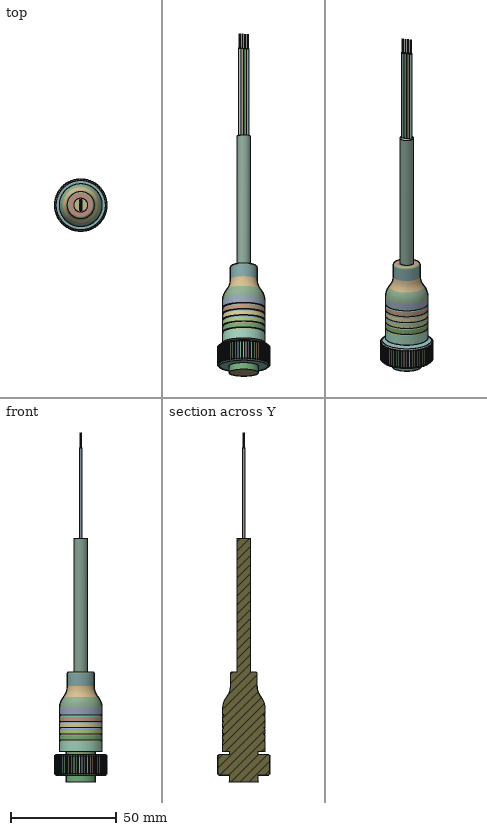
import cadquery as cq
import math

TOTAL_HEIGHT = 165.8
PLUG_RADIUS = 7.0

NUT_RADIUS = 12.5
NUT_BOTTOM = 3.2
NUT_HEIGHT = 10.0
NUT_TOP = NUT_BOTTOM + NUT_HEIGHT
NUT_CHAMFER = 0.8
FLUTE_COUNT = 60
FLUTE_RADIUS = 0.23

GRIP_RADIUS = 10.2
GRIP_BOTTOM = 14.5
GRIP_TOP = 35.2
COLLAR_RADIUS = 6.45
COLLAR_BOTTOM = 45.55
COLLAR_TOP = 52.4
COLLAR_FILLET = 1.0
GROOVE_COUNT = 5
GROOVE_PITCH = 3.0
GROOVE_SIZE = 1.0
FIRST_GROOVE_BOTTOM = 18.9

CABLE_RADIUS = 3.3
EXPOSED_WIRE_LENGTH = 50.0
STRIPPED_LENGTH = 7.0
CABLE_TOP = TOTAL_HEIGHT - EXPOSED_WIRE_LENGTH
INSULATION_TOP = TOTAL_HEIGHT - STRIPPED_LENGTH
WIRE_COUNT = 4
INSULATION_RADIUS = 0.65
CONDUCTOR_RADIUS = 0.25
WIRE_PITCH = 1.35

EMBED = 1.0


def cylinder(radius, bottom, top, y=0):
    """Upright cylinder centred on the X = 0 plane between two heights."""
    return cq.Workplane("XY", origin=(0, y, bottom)).circle(radius).extrude(top - bottom)


def make_grip():
    """Grip barrel blending through an S-curve of two equal arcs into the collar."""
    blend_run = (GRIP_RADIUS - COLLAR_RADIUS) / 2
    blend_rise = (COLLAR_BOTTOM - GRIP_TOP) / 2
    blend_radius = (blend_run**2 + blend_rise**2) / (2 * blend_run)
    half_sweep = math.asin(blend_rise / blend_radius) / 2
    arc_run = blend_radius * (1 - math.cos(half_sweep))
    arc_rise = blend_radius * math.sin(half_sweep)
    blend_middle = (GRIP_RADIUS - blend_run, GRIP_TOP + blend_rise)
    profile = (
        cq.Workplane("XZ")
        .moveTo(0, GRIP_BOTTOM)
        .lineTo(GRIP_RADIUS, GRIP_BOTTOM)
        .lineTo(GRIP_RADIUS, GRIP_TOP)
        .threePointArc((GRIP_RADIUS - arc_run, GRIP_TOP + arc_rise), blend_middle)
        .threePointArc(
            (COLLAR_RADIUS + arc_run, COLLAR_BOTTOM - arc_rise),
            (COLLAR_RADIUS, COLLAR_BOTTOM),
        )
        .lineTo(COLLAR_RADIUS, COLLAR_TOP)
        .lineTo(0, COLLAR_TOP)
        .close()
    )
    grip = profile.revolve(360, (0, 0, 0), (0, 1, 0)).faces(">Z").edges().fillet(COLLAR_FILLET)
    for index in range(GROOVE_COUNT):
        bottom = FIRST_GROOVE_BOTTOM + index * GROOVE_PITCH
        grip = grip.cut(make_groove_ring(bottom))
    return grip


def make_groove_ring(bottom):
    """Ring removed by one groove: a quarter-round shoulder below a square overhang."""
    top = bottom + GROOVE_SIZE
    inner_radius = GRIP_RADIUS - GROOVE_SIZE
    arc_offset = GROOVE_SIZE * math.sqrt(0.5)
    return (
        cq.Workplane("XZ")
        .moveTo(GRIP_RADIUS, bottom)
        .threePointArc((inner_radius + arc_offset, bottom + arc_offset), (inner_radius, top))
        .lineTo(GRIP_RADIUS, top)
        .close()
        .revolve(360, (0, 0, 0), (0, 1, 0))
    )


def make_nut():
    """Coupling nut with chamfered rims and half-round axial flutes."""
    nut = cylinder(NUT_RADIUS, NUT_BOTTOM, NUT_TOP).edges().chamfer(NUT_CHAMFER)
    flutes = (
        cq.Workplane("XY", origin=(0, 0, NUT_BOTTOM))
        .polarArray(NUT_RADIUS, 0, 360, FLUTE_COUNT)
        .circle(FLUTE_RADIUS)
        .extrude(NUT_HEIGHT)
    )
    return nut.cut(flutes)


def make_wire(y):
    """One insulated wire with its bare conductor at the free end."""
    insulation = cylinder(INSULATION_RADIUS, CABLE_TOP - EMBED, INSULATION_TOP, y)
    conductor = cylinder(CONDUCTOR_RADIUS, INSULATION_TOP - EMBED, TOTAL_HEIGHT, y)
    return insulation.union(conductor)


plug = cylinder(PLUG_RADIUS, 0, GRIP_BOTTOM + EMBED)
cable = cylinder(CABLE_RADIUS, COLLAR_TOP - EMBED, CABLE_TOP)
result = plug.union(make_nut()).union(make_grip()).union(cable)
for wire_index in range(WIRE_COUNT):
    wire_y = (wire_index - (WIRE_COUNT - 1) / 2) * WIRE_PITCH
    result = result.union(make_wire(wire_y))